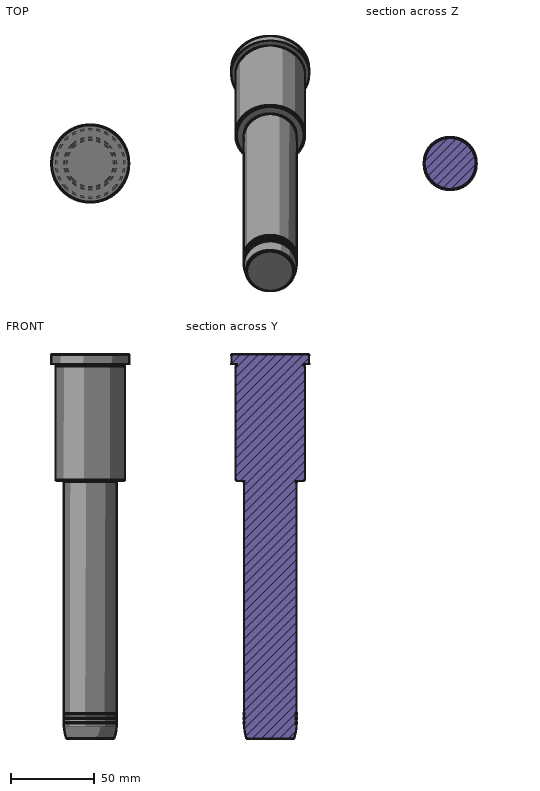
import cadquery as cq

total_length = 231.0
head_diameter = 47.0
head_height = 6.0
body_diameter = 42.0
body_length = 70.2
shaft_diameter = 31.9

head_chamfer = 0.5
body_chamfer = 1.0
relief_width = 1.5
relief_depth = 1.0

shaft_relief_width = 0.7
shaft_relief_depth = 0.5

groove_width = 1.0
groove_depth = 0.5
groove_pitch = 2.8
groove_count = 3
lowest_groove_top = 10.2

lead_length = 7.5
lead_middle_height = 4.0
lead_middle_radius = 15.5
tip_radius = 14.5
tip_chamfer = 0.7

head_radius = head_diameter / 2
body_radius = body_diameter / 2
shaft_radius = shaft_diameter / 2
head_bottom = total_length - head_height
body_bottom = head_bottom - body_length


def make_shaft():
    """Guide shaft with its tip curving inward to a small chamfered end face."""
    return (
        cq.Workplane("XZ")
        .moveTo(0, body_bottom)
        .lineTo(shaft_radius, body_bottom)
        .lineTo(shaft_radius, lead_length)
        .threePointArc((lead_middle_radius, lead_middle_height), (tip_radius, tip_chamfer))
        .lineTo(tip_radius - tip_chamfer, 0)
        .lineTo(0, 0)
        .close()
        .revolve(360, (0, 0, 0), (0, 1, 0))
    )


def make_body():
    """Thick press-fit section with a chamfered lower edge."""
    body = cq.Workplane("XY").workplane(offset=body_bottom).circle(body_radius).extrude(body_length)
    return body.faces("<Z").edges().chamfer(body_chamfer)


def make_head():
    """Flat disc head with a chamfered top edge."""
    head = cq.Workplane("XY").workplane(offset=head_bottom).circle(head_radius).extrude(head_height)
    return head.faces(">Z").edges().chamfer(head_chamfer)


def make_ring_cutter(top, width, surface_radius, depth):
    """Ring that removes a square groove of the given depth below a round surface."""
    return (
        cq.Workplane("XY")
        .workplane(offset=top - width)
        .circle(surface_radius)
        .circle(surface_radius - depth)
        .extrude(width)
    )


def make_relief_cutter():
    """Undercut ring below the head: a short straight neck, then a cone back out to the body."""
    neck_radius = body_radius - relief_depth
    cone_top = head_bottom - relief_width + relief_depth
    return (
        cq.Workplane("XZ")
        .moveTo(body_radius, head_bottom)
        .lineTo(neck_radius, head_bottom)
        .lineTo(neck_radius, cone_top)
        .lineTo(body_radius, head_bottom - relief_width)
        .close()
        .revolve(360, (0, 0, 0), (0, 1, 0))
    )


result = make_shaft().union(make_body()).union(make_head())

result = result.cut(make_relief_cutter())

result = result.cut(make_ring_cutter(body_bottom, shaft_relief_width, shaft_radius, shaft_relief_depth))

for index in range(groove_count):
    groove_top = lowest_groove_top + index * groove_pitch
    result = result.cut(make_ring_cutter(groove_top, groove_width, shaft_radius, groove_depth))